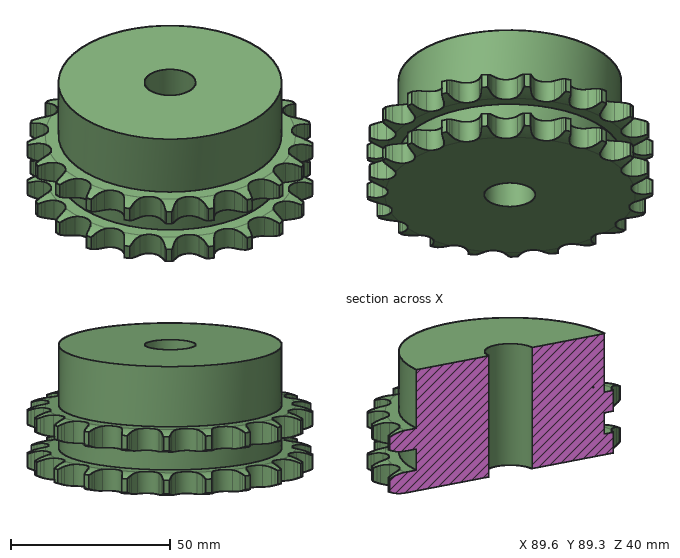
import math
import cadquery as cq

TEETH = 21
PITCH_DIAMETER = 85.2
ROLLER_DIAMETER = 8.5
STRAND_SPACING = 13.8
PITCH_RADIUS = PITCH_DIAMETER / 2
CHAIN_PITCH = PITCH_DIAMETER * math.sin(math.pi / TEETH)

TIP_DIAMETER = 89.7
TIP_RADIUS = TIP_DIAMETER / 2
TOOTH_WIDTH = 7.0
RELIEF_START_RADIUS = 39.2
RELIEF_RADIUS = CHAIN_PITCH
HUB_DIAMETER = 70.0
HUB_HEIGHT = 40.0
BORE_DIAMETER = 16.0

SEAT_RADIUS = 4.3
SEAT_END_TILT = 35 + 60 / TEETH
WORKING_ARC_ANGLE = 18 - 56 / TEETH
WORKING_RADIUS = SEAT_RADIUS + 0.8 * ROLLER_DIAMETER
TOPPING_CENTER_DISTANCE = 1.4 * ROLLER_DIAMETER
TIP_CLEARANCE = 0.45
FIRST_GAP_ANGLE = 90


def polar_offset(point, distance, degrees):
    """Point at a distance from another one, in a direction measured from +X."""
    angle = math.radians(degrees)
    return point[0] + distance * math.cos(angle), point[1] + distance * math.sin(angle)


def make_disc_blank():
    """Toothless disc, with both side faces curving in towards the rim."""
    reach = TIP_RADIUS - RELIEF_START_RADIUS

    def relief_depth(distance):
        return RELIEF_RADIUS - math.sqrt(RELIEF_RADIUS**2 - distance**2)

    tip_depth = relief_depth(reach)
    mid_depth = relief_depth(reach / 2)
    mid_radius = RELIEF_START_RADIUS + reach / 2
    return (
        cq.Workplane("XZ")
        .lineTo(RELIEF_START_RADIUS, 0)
        .threePointArc((mid_radius, mid_depth), (TIP_RADIUS, tip_depth))
        .lineTo(TIP_RADIUS, TOOTH_WIDTH - tip_depth)
        .threePointArc((mid_radius, TOOTH_WIDTH - mid_depth), (RELIEF_START_RADIUS, TOOTH_WIDTH))
        .lineTo(0, TOOTH_WIDTH)
        .close()
        .revolve(360, (0, 0), (0, 1))
    )


def make_gap_cutter():
    """Tooth gap on +X: roller seat, then a working arc, a straight and a topping arc on each side.

    All curves join tangentially. The points are those of the +Y side; the -Y side mirrors them.
    """
    roller_center = (PITCH_RADIUS, 0)
    seat_bottom = (PITCH_RADIUS - SEAT_RADIUS, 0)

    seat_end_direction = 90 + SEAT_END_TILT
    working_end_direction = seat_end_direction - WORKING_ARC_ANGLE
    working_mid_direction = (seat_end_direction + working_end_direction) / 2
    topping_start_direction = working_end_direction - 180

    seat_end = polar_offset(roller_center, SEAT_RADIUS, seat_end_direction)
    working_center = polar_offset(seat_end, -WORKING_RADIUS, seat_end_direction)
    working_mid = polar_offset(working_center, WORKING_RADIUS, working_mid_direction)
    working_end = polar_offset(working_center, WORKING_RADIUS, working_end_direction)

    topping_center = polar_offset(roller_center, TOPPING_CENTER_DISTANCE, 90 + 180 / TEETH)
    normal = math.radians(topping_start_direction)
    topping_radius = (
        (working_end[0] - topping_center[0]) * math.cos(normal)
        + (working_end[1] - topping_center[1]) * math.sin(normal)
    )
    topping_start = polar_offset(topping_center, topping_radius, topping_start_direction)

    end_x = TIP_RADIUS + TIP_CLEARANCE
    topping_end_direction = -math.degrees(math.acos((end_x - topping_center[0]) / topping_radius))
    topping_mid_direction = (topping_start_direction + topping_end_direction) / 2
    topping_mid = polar_offset(topping_center, topping_radius, topping_mid_direction)
    topping_end = polar_offset(topping_center, topping_radius, topping_end_direction)

    def mirrored(point):
        return point[0], -point[1]

    return (
        cq.Workplane("XY")
        .moveTo(*mirrored(topping_end))
        .threePointArc(mirrored(topping_mid), mirrored(topping_start))
        .lineTo(*mirrored(working_end))
        .threePointArc(mirrored(working_mid), mirrored(seat_end))
        .threePointArc(seat_bottom, seat_end)
        .threePointArc(working_mid, working_end)
        .lineTo(*topping_start)
        .threePointArc(topping_mid, topping_end)
        .close()
        .extrude(TOOTH_WIDTH)
    )


def make_toothed_disc():
    """Disc with its underside at Z = 0 and evenly spaced tooth gaps around the rim."""
    disc = make_disc_blank()
    gap = make_gap_cutter()
    for index in range(TEETH):
        angle = FIRST_GAP_ANGLE + index * 360 / TEETH
        disc = disc.cut(gap.rotate((0, 0, 0), (0, 0, 1), angle))
    return disc


hub = cq.Workplane("XY").circle(HUB_DIAMETER / 2).extrude(HUB_HEIGHT)
bore = cq.Workplane("XY").circle(BORE_DIAMETER / 2).extrude(HUB_HEIGHT)
lower_disc = make_toothed_disc()
upper_disc = lower_disc.translate((0, 0, STRAND_SPACING))

result = hub.union(lower_disc).union(upper_disc).cut(bore)